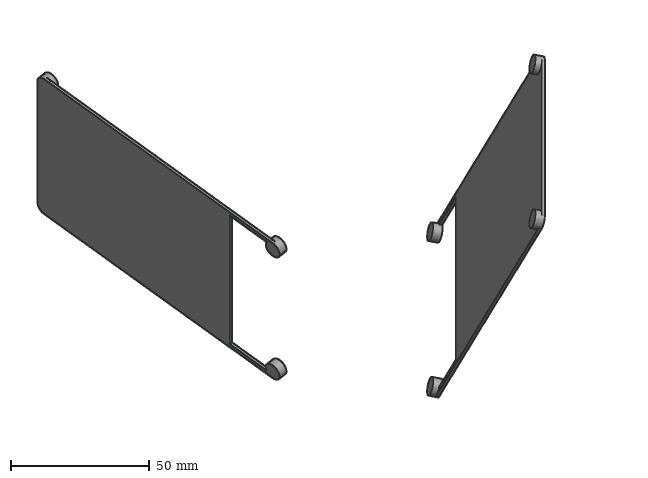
import cadquery as cq

length = 120.6
height = 74.7
depth = 3.6

plate_thickness = 1.2
disc_radius = 3.5
arm_width = 1.8
notch_start = 95.8

disc_spacing_x = length - 2 * disc_radius
disc_spacing_z = height - 2 * disc_radius
notch_length = length - notch_start
notch_height = height - 2 * arm_width


def block(size_x, size_z, thickness):
    """Block centred on X and Z, with its front face at Y = 0."""
    return cq.Workplane("XY").box(size_x, thickness, size_z, centered=(True, False, True))


def make_plate():
    """Thin plate with square corner recesses for the discs and one end cut away to leave two arms."""
    plate = block(disc_spacing_x, height, plate_thickness)
    plate = plate.union(block(length, disc_spacing_z, plate_thickness))
    notch = block(notch_length, notch_height, plate_thickness)
    return plate.cut(notch.translate(((length - notch_length) / 2, 0, 0)))


def make_discs():
    """Four full-depth discs that fill the recesses and round the plate corners."""
    return (
        cq.Workplane("XZ")
        .rarray(disc_spacing_x, disc_spacing_z, 2, 2)
        .circle(disc_radius)
        .extrude(-depth)
    )


result = make_plate().union(make_discs())